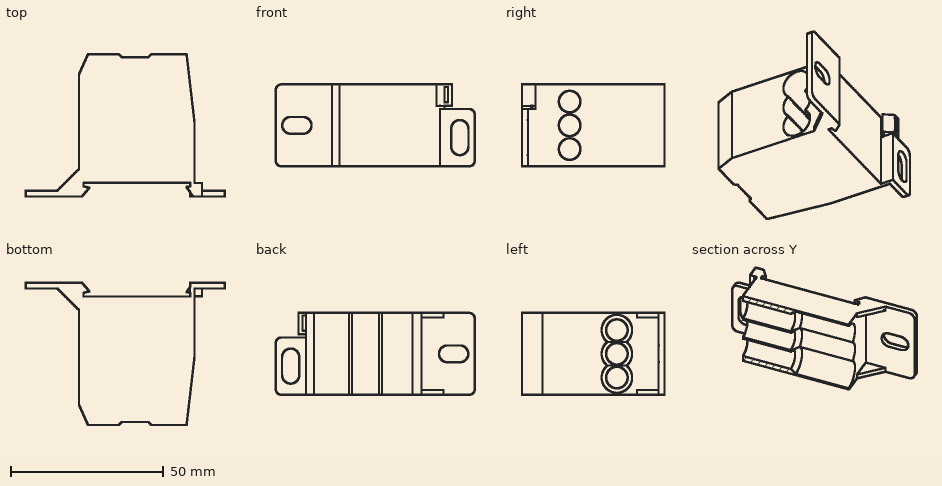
import cadquery as cq
import math

length = 65.5
depth = 46.8
width = 27.0

body_left = 17.5
body_right = 55.55
body_back = 4.5
bevel_start_y = 40.1
bevel_end_x = 20.5
taper_start_y = 24.3
taper_end_x = 52.9
label_left = 30.6
label_right = 41.3
label_depth = 1.0

foot_thickness = 1.95
corner_radius = 2.0
gusset_start_x = 10.4
gusset_width = body_left - gusset_start_x
gusset_thickness = 1.65

hook_neck_y = 3.4
hook_tip_y = 2.95
fixed_neck_x = 19.05
fixed_tip_x = 21.0
fixed_heel_x = 18.55
leg_left = 54.05
clip_tip_x = 52.8
clip_tip_y = 3.2
clip_heel_x = 55.0
clip_heel_radius = 1.0
clip_right = 58.0
clip_bottom = 19.9
clip_slot_width = 1.05
clip_slot_bottom = 21.1
clip_slot_top = 26.1

right_foot_height = 18.9

left_slot_length = 9.55
left_slot_width = 5.45
left_slot_x = 7.0
right_slot_length = 11.45
right_slot_width = 5.6
right_slot_x = 60.5
right_slot_z = right_foot_height / 2

entry_count = 3
entry_pitch = 7.8
entry_y = 15.65
entry_mouth_diameter = 10.0
entry_bore_diameter = 7.0
entry_mouth_radius = entry_mouth_diameter / 2
entry_bore_radius = entry_bore_diameter / 2
entry_mouth_depth = (body_right - body_left) / 2
entry_shoulder_angle = 40
entry_shoulder_length = (entry_mouth_radius - entry_bore_radius) / math.tan(math.radians(entry_shoulder_angle))


def prism(points, bottom, top):
    """Extrude an XY outline between two Z levels."""
    return cq.Workplane("XY", origin=(0, 0, bottom)).polyline(points).close().extrude(top - bottom)


def block(x_range, y_range, z_range):
    """Box given by its limits on each axis."""
    corners = [
        (x_range[0], y_range[0]),
        (x_range[1], y_range[0]),
        (x_range[1], y_range[1]),
        (x_range[0], y_range[1]),
    ]
    return prism(corners, *z_range)


def foot_slot(x, z, slot_length, slot_width, angle):
    """Round-ended screw slot cut through a foot along Y."""
    return (
        cq.Workplane("XZ")
        .center(x, z)
        .slot2D(slot_length, slot_width, angle)
        .extrude(-foot_thickness)
    )


def make_housing():
    outline = [
        (body_left, body_back),
        (body_right, body_back),
        (body_right, taper_start_y),
        (taper_end_x, depth),
        (label_right, depth),
        (label_right - label_depth, depth - label_depth),
        (label_left + label_depth, depth - label_depth),
        (label_left, depth),
        (bevel_end_x, depth),
        (body_left, bevel_start_y),
    ]
    return prism(outline, 0, width)


def make_left_foot():
    plate = block((0, body_left), (0, foot_thickness), (0, width))
    plate = plate.edges("|Y and <X").fillet(corner_radius)
    plate = plate.cut(foot_slot(left_slot_x, width / 2, left_slot_length, left_slot_width, 0))
    hook = prism(
        [
            (body_left, 0),
            (fixed_heel_x, 0),
            (fixed_tip_x, hook_tip_y),
            (fixed_neck_x, hook_neck_y),
            (fixed_neck_x, body_back),
            (body_left, body_back),
        ],
        0,
        width,
    )
    foot = plate.union(hook)
    gusset = [
        (gusset_start_x, foot_thickness),
        (body_left, foot_thickness),
        (body_left, foot_thickness + gusset_width),
    ]
    for bottom in (0, width - gusset_thickness):
        foot = foot.union(prism(gusset, bottom, bottom + gusset_thickness))
    return foot


def make_right_foot():
    plate = block((leg_left, length), (0, foot_thickness), (0, right_foot_height))
    plate = plate.edges("|Y and >X").fillet(corner_radius)
    plate = plate.cut(foot_slot(right_slot_x, right_slot_z, right_slot_length, right_slot_width, 90))
    leg = block((leg_left, body_right), (0, body_back), (0, right_foot_height))
    return plate.union(leg)


def make_clip():
    outline = [
        (clip_heel_x, 0),
        (clip_right, 0),
        (clip_right, body_back),
        (leg_left, body_back),
        (leg_left, hook_neck_y),
        (clip_tip_x, clip_tip_y),
    ]
    slot = block(
        (body_right, body_right + clip_slot_width),
        (0, body_back),
        (clip_slot_bottom, clip_slot_top),
    )
    heel = cq.selectors.NearestToPointSelector((clip_heel_x, 0, (clip_bottom + width) / 2))
    return prism(outline, clip_bottom, width).edges(heel).fillet(clip_heel_radius).cut(slot)


def make_wire_entry(z):
    """Stepped round bore along X, revolved about its own axis."""
    shoulder_start = body_left + entry_mouth_depth
    half_section = [
        (body_left, 0),
        (body_left, entry_mouth_radius),
        (shoulder_start, entry_mouth_radius),
        (shoulder_start + entry_shoulder_length, entry_bore_radius),
        (body_right, entry_bore_radius),
        (body_right, 0),
    ]
    return (
        cq.Workplane("XY", origin=(0, entry_y, z))
        .polyline(half_section)
        .close()
        .revolve(360, (0, 0, 0), (1, 0, 0))
    )


result = make_housing().union(make_left_foot()).union(make_right_foot()).union(make_clip())
for index in range(entry_count):
    entry_z = width / 2 + (index - (entry_count - 1) / 2) * entry_pitch
    result = result.cut(make_wire_entry(entry_z))